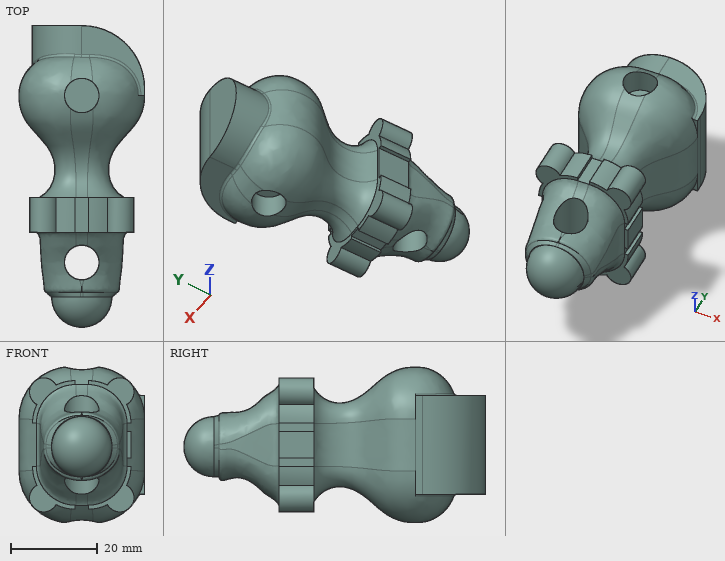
import cadquery as cq
import math

LENGTH = 70.0
HOLE_DIAMETER = 8.0
SHANK_HOLE_Y = 15.05

TIP_RADIUS = 7.0
TIP_DROP = 0.4
SEAT_FLAT = 0.3

COLLAR_FRONT = 22.05
COLLAR_BACK = 30.2
COLLAR_HALF_WIDTH = 11.4
COLLAR_HALF_HEIGHT = 14.9
COLLAR_CORNER_RADIUS = 9.9
GROOVE_DEPTH = 0.9
KEY_HALF_HEIGHT = 3.1
LOBE_RADIUS = 3.3
LOBE_X = 8.8
LOBE_Z = 12.25

TOP_FLAT = COLLAR_HALF_WIDTH - COLLAR_CORNER_RADIUS
SIDE_FLAT = COLLAR_HALF_HEIGHT - COLLAR_CORNER_RADIUS

HEAD_CENTER = 53.75
HEAD_WIDTH = 29.2
HEAD_HALF_WIDTH = HEAD_WIDTH / 2
HEAD_HALF_HEIGHT = 18.1
HEAD_TOP_FLAT = 2.6
HEAD_SIDE_FLAT = 6.0
DOME_RADIUS = 9.45
DOME_STEPS = 5
DOME_TOP_FLAT = 1.3
DOME_SIDE_FLAT = 5.5

KNUCKLE_RADIUS = 11.5
KNUCKLE_ROUND = HEAD_HALF_WIDTH
SEAM_FILLET = 0.7

NECK_SECTIONS = [
    (45.15, 10.8, 14.7, 2.4, 5.8),
    (40.6, 7.2, 11.05, 1.75, 5.3),
    (36.2, 6.2, 9.7, 1.4, 5.05),
    (32.55, 7.3, 10.8, 1.3, 5.0),
    (COLLAR_BACK, 9.8, 13.2, 1.3, 5.0),
]

SHANK_SECTIONS = [
    (COLLAR_FRONT, 10.5, 14.0, 1.3, 5.0),
    (21.4, 9.95, 13.1, 1.3, 4.9),
    (20.45, 9.65, 12.3, 1.3, 4.8),
    (18.8, 9.6, 11.3, 1.25, 4.35),
    (17.15, 9.5, 10.0, 1.1, 3.5),
    (15.05, 9.4, 8.75, 0.85, 2.5),
    (12.9, 9.2, 8.0, 0.6, 1.55),
    (10.9, 8.9, 7.7, 0.4, 0.85, -0.15),
    (8.1, 8.25, 7.15, 0.3, 0.4, -0.3),
]


def rounded_section(y, half_width, half_height, top_flat, side_flat, z_center=0.0):
    """Rectangle with elliptical corners in the plane at the given Y."""
    corner_width = half_width - top_flat
    corner_height = half_height - side_flat
    return (
        cq.Workplane("XZ", origin=(0, y, z_center))
        .moveTo(half_width, -side_flat)
        .lineTo(half_width, side_flat)
        .ellipseArc(corner_width, corner_height, 0, 90, startAtCurrent=True)
        .lineTo(-top_flat, half_height)
        .ellipseArc(corner_width, corner_height, 90, 180, startAtCurrent=True)
        .lineTo(-half_width, -side_flat)
        .ellipseArc(corner_width, corner_height, 180, 270, startAtCurrent=True)
        .lineTo(top_flat, -half_height)
        .ellipseArc(corner_width, corner_height, 270, 360, startAtCurrent=True)
        .close()
        .wires()
        .val()
    )


def dome_section(angle):
    """Section of the head where its quarter-round profile stands at this angle from the end."""
    reach = math.sin(angle)
    inset = DOME_RADIUS * (1 - reach)
    return rounded_section(
        HEAD_CENTER + DOME_RADIUS * math.cos(angle),
        HEAD_HALF_WIDTH - inset,
        HEAD_HALF_HEIGHT - inset,
        DOME_TOP_FLAT + (HEAD_TOP_FLAT - DOME_TOP_FLAT) * reach,
        DOME_SIDE_FLAT + (HEAD_SIDE_FLAT - DOME_SIDE_FLAT) * reach,
    )


def head_and_neck():
    step = math.pi / 2 / DOME_STEPS
    sections = [dome_section(i * step) for i in range(DOME_STEPS + 1)]
    sections += [rounded_section(*section) for section in NECK_SECTIONS]
    return cq.Workplane(cq.Solid.makeLoft(sections))


def knuckle():
    """Round peg for negative X, flat-sided quarter disc for positive X."""
    peg = (
        cq.Workplane("XZ", origin=(0, HEAD_CENTER, 0))
        .moveTo(0, -KNUCKLE_RADIUS)
        .threePointArc((-KNUCKLE_RADIUS, 0), (0, KNUCKLE_RADIUS))
        .close()
        .extrude(HEAD_CENTER - LENGTH)
    )
    round_center = LENGTH - KNUCKLE_ROUND
    diagonal = KNUCKLE_ROUND * math.sqrt(0.5)
    disc = (
        cq.Workplane("XY")
        .moveTo(0, HEAD_CENTER)
        .lineTo(KNUCKLE_ROUND, HEAD_CENTER)
        .lineTo(KNUCKLE_ROUND, round_center)
        .threePointArc((diagonal, round_center + diagonal), (0, LENGTH))
        .close()
        .extrude(KNUCKLE_RADIUS, both=True)
    )
    return peg.union(disc)


def head_and_knuckle():
    """Head, neck and knuckle with a fillet along the curved seam where the head wraps the knuckle."""
    body = head_and_neck().union(knuckle())
    seam_region = cq.selectors.BoxSelector(
        (-HEAD_HALF_WIDTH, HEAD_CENTER, -HEAD_HALF_HEIGHT),
        (HEAD_HALF_WIDTH, HEAD_CENTER + DOME_RADIUS, HEAD_HALF_HEIGHT),
    )
    past_center = HEAD_CENTER + SEAM_FILLET
    seam = body.edges(seam_region).filter(
        lambda edge: edge.geomType() == "BSPLINE" and edge.Center().y > past_center
    )
    return seam.fillet(SEAM_FILLET)


def collar():
    """Grooved rounded plate with a round lobe on each corner."""
    thickness = COLLAR_BACK - COLLAR_FRONT
    middle = (COLLAR_FRONT + COLLAR_BACK) / 2
    plane = cq.Workplane("XZ", origin=(0, COLLAR_BACK, 0))
    plate = (
        plane.rect(2 * COLLAR_HALF_WIDTH, 2 * COLLAR_HALF_HEIGHT)
        .extrude(thickness)
        .edges("|Y")
        .fillet(COLLAR_CORNER_RADIUS)
    )
    for side in (-1, 1):
        top_groove = cq.Workplane().box(2 * TOP_FLAT, thickness, 2 * GROOVE_DEPTH)
        plate = plate.cut(top_groove.translate((0, middle, side * COLLAR_HALF_HEIGHT)))
        side_groove = cq.Workplane().box(2 * GROOVE_DEPTH, thickness, 2 * SIDE_FLAT)
        plate = plate.cut(side_groove.translate((side * COLLAR_HALF_WIDTH, middle, 0)))
    key = cq.Workplane().box(2 * GROOVE_DEPTH, thickness, 2 * KEY_HALF_HEIGHT)
    plate = plate.union(key.translate((COLLAR_HALF_WIDTH - GROOVE_DEPTH, middle, 0)))
    lobes = plane.rect(2 * LOBE_X, 2 * LOBE_Z, forConstruction=True).vertices()
    return plate.union(lobes.circle(LOBE_RADIUS).extrude(thickness))


def shank_and_tip():
    sections = [rounded_section(*section) for section in SHANK_SECTIONS]
    shank = cq.Workplane(cq.Solid.makeLoft(sections))
    seat = rounded_section(TIP_RADIUS, TIP_RADIUS, TIP_RADIUS, SEAT_FLAT, SEAT_FLAT, -TIP_DROP)
    shoulder = cq.Workplane(cq.Solid.makeLoft([sections[-1], seat], True))
    tip = cq.Workplane().sphere(TIP_RADIUS).translate((0, TIP_RADIUS, -TIP_DROP))
    return shank.union(shoulder).union(tip)


def vertical_hole(y, bottom):
    """Cutter that rises from the given bottom level to well above the part."""
    return cq.Workplane("XY", origin=(0, y, bottom)).circle(HOLE_DIAMETER / 2).extrude(LENGTH)


result = collar().union(head_and_knuckle()).union(shank_and_tip())

result = result.cut(vertical_hole(SHANK_HOLE_Y, -LENGTH / 2))

head_hole = vertical_hole(HEAD_CENTER, KNUCKLE_RADIUS)
result = result.cut(head_hole).cut(head_hole.mirror("XY"))